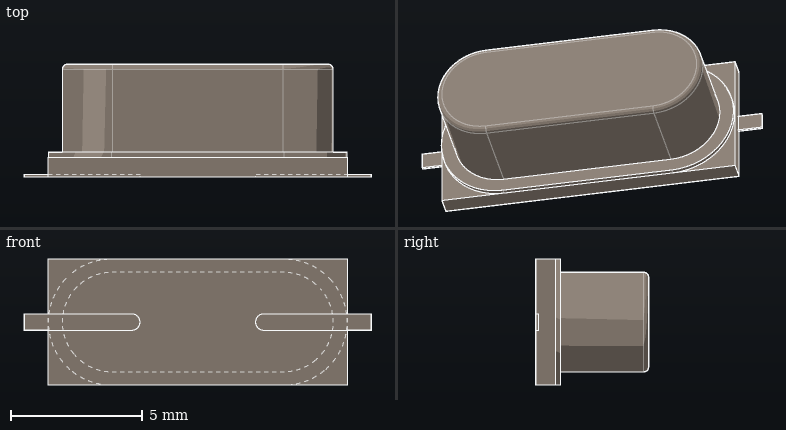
import cadquery as cq

overall_length = 13.2
overall_depth = 4.3

base_length = 11.4
base_height = 4.8
base_thickness = 0.75

flange_length = 11.36
flange_height = base_height
flange_thickness = 0.2
can_length = 10.3
can_height = 3.8
can_edge_radius = 0.2
can_depth = overall_depth - base_thickness - flange_thickness

lead_length = 4.4
lead_width = 0.63
lead_thickness = 0.1
lead_end_radius = lead_width / 2


def racetrack(length, height, depth, start_y):
    """Solid with semicircular ends, extruded toward +Y from start_y."""
    plane = cq.Workplane("XZ", origin=(0, start_y, 0))
    return plane.slot2D(length, height).extrude(-depth)


def make_lead(side):
    """Lead with a square outer end and a rounded inner end; side is -1 or +1 along X."""
    outer_x = side * overall_length / 2
    inner_x = outer_x - side * lead_length
    arc_start_x = inner_x + side * lead_end_radius
    half_width = lead_width / 2
    return (
        cq.Workplane("XZ")
        .moveTo(outer_x, half_width)
        .lineTo(arc_start_x, half_width)
        .threePointArc((inner_x, 0), (arc_start_x, -half_width))
        .lineTo(outer_x, -half_width)
        .close()
        .extrude(-lead_thickness)
    )


def make_base(leads):
    """Rectangular plate with a recess matching each lead."""
    plate = cq.Workplane("XZ").rect(base_length, base_height).extrude(-base_thickness)
    for lead in leads:
        plate = plate.cut(lead)
    return plate


def make_can():
    """Flange and can as one solid, with the far rim of the can rounded."""
    flange = racetrack(flange_length, flange_height, flange_thickness, base_thickness)
    shell = racetrack(can_length, can_height, can_depth, base_thickness + flange_thickness)
    shell = shell.faces(">Y").edges().fillet(can_edge_radius)
    return flange.union(shell)


leads = [make_lead(side) for side in (-1, 1)]
base = make_base(leads)
can = make_can()

result = cq.Compound.makeCompound([base.val(), can.val(), *[lead.val() for lead in leads]])